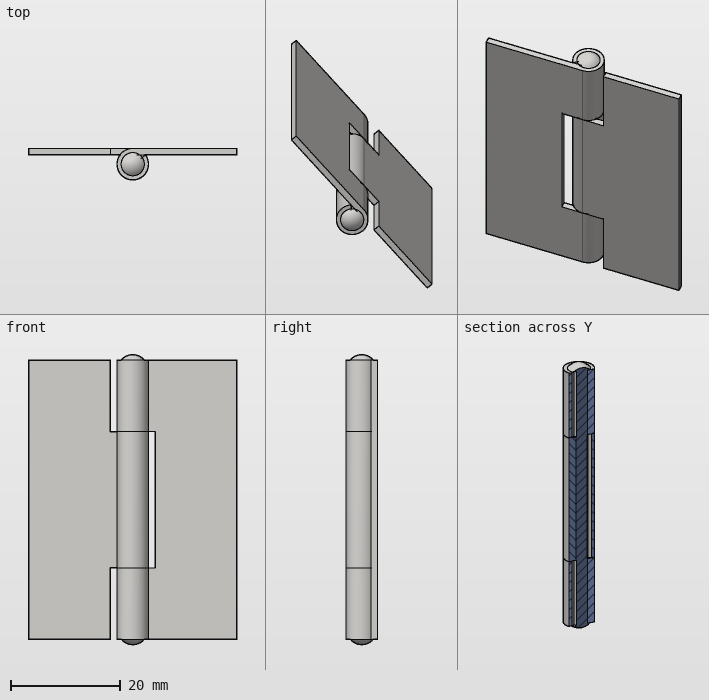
import cadquery as cq
import math

hinge_width = 38.0
pin_length = 53.0
head_height = 1.0
head_radius = 2.1
barrel_radius = 2.89
leaf_thickness = 1.15
middle_knuckle_length = 24.85
curl_end_gap = 0.05
notch_reach = 4.1

leaf_height = pin_length - 2 * head_height
half_width = hinge_width / 2
bore_radius = barrel_radius - leaf_thickness
end_knuckle_length = (leaf_height - middle_knuckle_length) / 2
end_knuckle_offset = (middle_knuckle_length + end_knuckle_length) / 2

curl_end_angle = math.asin((bore_radius - curl_end_gap) / barrel_radius)


def polar(radius, angle):
    """Point at an angle about the pin axis, measured from +X."""
    return (radius * math.cos(angle), radius * math.sin(angle))


def leaf_plate():
    """Flat part of the right-hand leaf, over the full height and clear of the barrel."""
    return cq.Workplane("XY").box(
        half_width - notch_reach, leaf_thickness, leaf_height, centered=(False, False, True)
    ).translate((notch_reach, bore_radius, 0))


def rolled_knuckle(length, z_center):
    """Strip that leaves the right-hand plate and curls around the pin."""
    curl_middle_angle = math.pi
    return (
        cq.Workplane("XY", origin=(0, 0, z_center - length / 2))
        .moveTo(notch_reach, barrel_radius)
        .lineTo(0, barrel_radius)
        .threePointArc(polar(barrel_radius, curl_middle_angle), polar(barrel_radius, curl_end_angle))
        .lineTo(*polar(bore_radius, curl_end_angle))
        .threePointArc(polar(bore_radius, curl_middle_angle), (0, bore_radius))
        .lineTo(notch_reach, bore_radius)
        .close()
        .extrude(length)
    )


def right_leaf():
    """Leaf with a knuckle at each end of the barrel."""
    leaf = leaf_plate()
    for z_center in (-end_knuckle_offset, end_knuckle_offset):
        leaf = leaf.union(rolled_knuckle(end_knuckle_length, z_center))
    return leaf


def left_leaf():
    """Mirrored leaf with the single middle knuckle."""
    return leaf_plate().union(rolled_knuckle(middle_knuckle_length, 0)).mirror("YZ")


def hinge_pin():
    """Shank filling the bore, with a domed head over each end of the barrel."""
    half_leaf = leaf_height / 2
    half_pin = pin_length / 2
    dome_radius = (head_radius**2 + head_height**2) / (2 * head_height)
    dome_center = half_pin - dome_radius
    mid_height = half_leaf + head_height / 2
    mid_radius = math.sqrt(dome_radius**2 - (mid_height - dome_center) ** 2)
    return (
        cq.Workplane("XZ")
        .moveTo(0, -half_pin)
        .threePointArc((mid_radius, -mid_height), (head_radius, -half_leaf))
        .lineTo(bore_radius, -half_leaf)
        .lineTo(bore_radius, half_leaf)
        .lineTo(head_radius, half_leaf)
        .threePointArc((mid_radius, mid_height), (0, half_pin))
        .close()
        .revolve(360, (0, 0, 0), (0, 1, 0))
    )


result = cq.Compound.makeCompound([right_leaf().val(), left_leaf().val(), hinge_pin().val()])